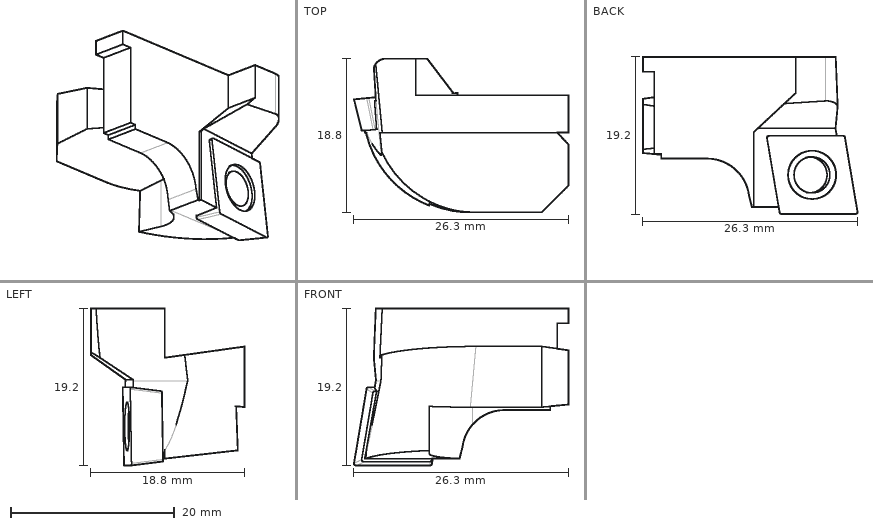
import cadquery as cq
import math

HEIGHT = 19.2
LENGTH = 26.25
DEPTH = 18.81
MARGIN = 5.25

WALL_FRONT = 9.75
WALL_BACK = 14.33
HOOK_BOTTOM = 17.37
WALL_END = 24.88
FOOT_END = 24.0
FOOT_TOP = 7.35
WALL_BOTTOM = 6.77

ARM_END = 7.53
GUSSET_TOP = 14.83
GUSSET_ANGLE = math.radians(43)
GUSSET_END = 12.67
ARM_SIDE_X = 2.35
ARM_CORNER_RADIUS = 1.57

FLANGE_TOP_FRONT = 14.56
FLANGE_TOP_BACK = 13.2
FLANGE_BOTTOM_FRONT = 7.15
FLANGE_BOTTOM_BACK = 8.05
FRONT_CHAMFER = 3.3
BACK_CHAMFER_X = LENGTH - WALL_END
BACK_CHAMFER_Y = 1.47

FRONT_RADIUS = 12.46
FRONT_AXIS_X = 13.55
FRONT_LEAN = 0.092

STEM_STEP_X = 9.24
STEM_FILLET = 5.25
STEM_TOP = 10.5
STEM_BOTTOM = 0.85
STEM_BOTTOM_FRONT = 1.95
RELIEF_BASE_X = 12.7
RELIEF_MID = (14.48, 4.99)
RELIEF_START = (13.28, 2.23)
RELIEF_END_X = 18.37

END_EDGE_Z = 10.4
END_EDGE_X = 3.05
END_TOP_X = 3.46
END_BOTTOM_X = 1.2
END_SLANT = -0.095

INSERT_YAW = 5.6
INSERT_CORNER_X = -0.047
INSERT_CORNER_Y = 13.83
INSERT_SIDE = 9.6
INSERT_HEIGHT = 9.58
INSERT_LEAN = 1.63
INSERT_THICKNESS = 3.94
INSERT_CLEARANCE = 7.0
INSERT_NOSE_RADIUS = 0.25
HOLE_DIAMETER = 4.4
RECESS_DIAMETER = 5.9
RECESS_DEPTH = 0.42

SEAT_BACK_Y = 13.38
UNDERCUT_Z = 10.5
UNDERCUT_SLOPE = 0.66


def slanted_prism(outline, direction):
    """Extrude a closed outline along a direction not square to its plane."""
    face = cq.Face.makeFromWires(outline.val())
    return cq.Workplane(obj=cq.Solid.extrudeLinear(face, cq.Vector(*direction)))


def along_y(outline, start, end):
    """Extrude an XZ outline from one Y to another."""
    return outline.extrude(start - end).translate((0, start, 0))


def xz_polygon(points):
    return cq.Workplane("XZ").polyline(points).close()


def make_wall():
    profile = xz_polygon([
        (0, 0), (FOOT_END, 0), (FOOT_END, FOOT_TOP), (WALL_END, FOOT_TOP),
        (WALL_END, HOOK_BOTTOM), (LENGTH, HOOK_BOTTOM), (LENGTH, HEIGHT), (0, HEIGHT),
    ])
    return along_y(profile, WALL_FRONT, WALL_BACK)


def make_arm():
    gusset_foot = GUSSET_TOP - (GUSSET_END - ARM_END) * math.tan(GUSSET_ANGLE)
    profile = xz_polygon([
        (0, 0), (GUSSET_END, 0), (GUSSET_END, gusset_foot),
        (ARM_END, GUSSET_TOP), (ARM_END, HEIGHT), (0, HEIGHT),
    ])
    rounded_plan = (
        cq.Workplane("XY")
        .rect(LENGTH, DEPTH, centered=False)
        .extrude(HEIGHT)
        .translate((ARM_SIDE_X, 0, 0))
        .edges("|Z and <X and >Y")
        .fillet(ARM_CORNER_RADIUS)
    )
    return along_y(profile, WALL_FRONT, DEPTH).intersect(rounded_plan)


def make_flange():
    outline = cq.Workplane("XY").polyline([
        (0, 0), (LENGTH - FRONT_CHAMFER, 0), (LENGTH, FRONT_CHAMFER),
        (LENGTH, WALL_FRONT - BACK_CHAMFER_Y), (LENGTH - BACK_CHAMFER_X, WALL_FRONT), (0, WALL_FRONT),
    ]).close().extrude(HEIGHT)
    section = cq.Workplane("YZ").polyline([
        (0, FLANGE_BOTTOM_FRONT), (WALL_FRONT, FLANGE_BOTTOM_BACK),
        (WALL_FRONT, FLANGE_TOP_BACK), (0, FLANGE_TOP_FRONT),
    ]).close().extrude(LENGTH)
    return outline.intersect(section)


def make_stem():
    fillet_end = STEM_STEP_X + STEM_FILLET
    fillet_start_y = WALL_FRONT - STEM_FILLET
    inset = STEM_FILLET * (1 - math.sqrt(0.5))
    return (
        cq.Workplane("XY")
        .moveTo(0, 0)
        .lineTo(STEM_STEP_X, 0)
        .lineTo(STEM_STEP_X, fillet_start_y)
        .threePointArc((STEM_STEP_X + inset, WALL_FRONT - inset), (fillet_end, WALL_FRONT))
        .lineTo(0, WALL_FRONT)
        .close()
        .extrude(STEM_TOP)
    )


def make_front_envelope():
    """Space behind the leaning curved front, closed off at the wall front."""
    def arc_x(y):
        return FRONT_AXIS_X - math.sqrt(FRONT_RADIUS**2 - (FRONT_RADIUS - y) ** 2)

    outline = (
        cq.Workplane("XY")
        .moveTo(FRONT_AXIS_X, 0)
        .threePointArc((arc_x(WALL_FRONT / 4), WALL_FRONT / 4), (arc_x(WALL_FRONT), WALL_FRONT))
        .lineTo(LENGTH + MARGIN, WALL_FRONT)
        .lineTo(LENGTH + MARGIN, 0)
        .close()
        .wire()
    )
    return slanted_prism(outline, (FRONT_LEAN * HEIGHT, 0, HEIGHT))


def make_end_trim():
    """Space on the +X side of the two leaning end planes."""
    far_x = LENGTH + MARGIN
    outline = xz_polygon([
        (END_BOTTOM_X, 0), (far_x, 0), (far_x, HEIGHT), (END_TOP_X, HEIGHT), (END_EDGE_X, END_EDGE_Z),
    ]).wire()
    reach = DEPTH + 2 * MARGIN
    prism = slanted_prism(outline, (END_SLANT * reach, reach, 0))
    start_y = -MARGIN
    return prism.translate((END_SLANT * (start_y - WALL_FRONT), start_y, 0))


def make_underside():
    """Everything below the stem: sloped at the front, level behind."""
    return cq.Workplane("YZ").polyline([
        (0, STEM_BOTTOM_FRONT), (WALL_FRONT, STEM_BOTTOM), (DEPTH, STEM_BOTTOM), (DEPTH, 0), (0, 0),
    ]).close().extrude(LENGTH)


def make_relief():
    """Hollow under the wall, sweeping from the stem to the level wall bottom."""
    profile = (
        cq.Workplane("XZ")
        .moveTo(RELIEF_BASE_X, 0)
        .lineTo(*RELIEF_START)
        .threePointArc(RELIEF_MID, (RELIEF_END_X, WALL_BOTTOM))
        .lineTo(LENGTH + MARGIN, WALL_BOTTOM)
        .lineTo(LENGTH + MARGIN, 0)
        .close()
    )
    return along_y(profile, 0, DEPTH + MARGIN)


def make_undercut():
    """Space behind the seat and below the sloping underside of the arm."""
    far_y = DEPTH + MARGIN
    outline = cq.Workplane("YZ").polyline([
        (SEAT_BACK_Y, 0), (far_y, 0),
        (far_y, UNDERCUT_Z + UNDERCUT_SLOPE * (far_y - SEAT_BACK_Y)), (SEAT_BACK_Y, UNDERCUT_Z),
    ]).close().wire()
    return slanted_prism(outline, (LENGTH, LENGTH * math.tan(math.radians(INSERT_YAW)), 0))


def make_insert_blank():
    """Rhombic insert without its hole, tapering away from the rake face."""
    blank = (
        xz_polygon([
            (0, 0), (INSERT_SIDE, 0), (INSERT_SIDE + INSERT_LEAN, INSERT_HEIGHT), (INSERT_LEAN, INSERT_HEIGHT),
        ])
        .extrude(INSERT_THICKNESS, taper=INSERT_CLEARANCE)
    )
    return blank.edges("not(<Y or >Y)").fillet(INSERT_NOSE_RADIUS)


def make_insert_hole():
    center = ((INSERT_SIDE + INSERT_LEAN) / 2, 0, INSERT_HEIGHT / 2)
    face = cq.Workplane("XZ", origin=center)
    bore = face.circle(HOLE_DIAMETER / 2).extrude(INSERT_THICKNESS)
    recess = face.circle(RECESS_DIAMETER / 2).extrude(RECESS_DEPTH)
    return bore.union(recess)


def place_insert(shape):
    return shape.rotate((0, 0, 0), (0, 0, 1), INSERT_YAW).translate((INSERT_CORNER_X, INSERT_CORNER_Y, 0))


def make_holder(insert_blank):
    front = make_flange().union(make_stem()).intersect(make_front_envelope())
    body = front.union(make_wall()).union(make_arm()).intersect(make_end_trim())
    body = body.cut(make_underside()).cut(make_relief()).cut(make_undercut())
    return body.cut(insert_blank)


insert_blank = place_insert(make_insert_blank())
insert = insert_blank.cut(place_insert(make_insert_hole()))
holder = make_holder(insert_blank)

result = cq.Compound.makeCompound([holder.solids().val(), insert.solids().val()])